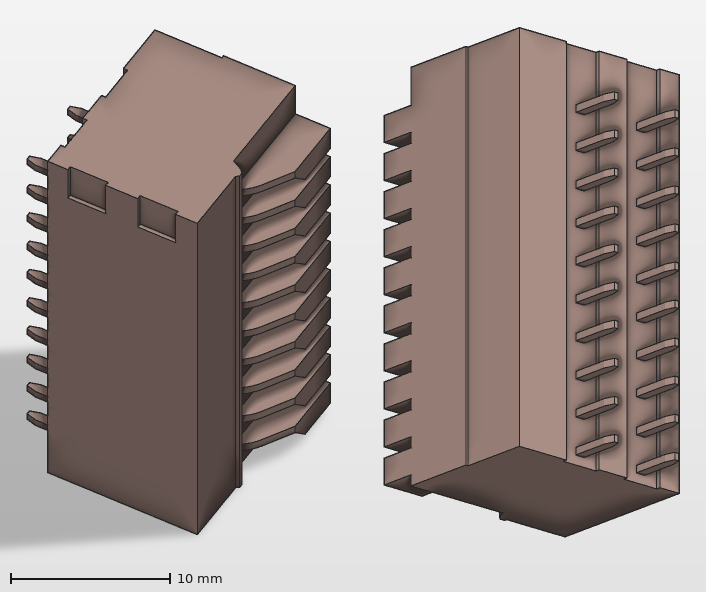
import cadquery as cq

HEIGHT = 27.94
DEPTH = 13.6
BACK_STEP = 0.2
BACK_STEP_X = 4.88
LEVER_WALL_X = 10.1
FRONT_WALL_X = 10.88
NOTCH_Y = 5.9
NOSE_X = 11.08
NOSE_ROOT_Y = 4.78
NOSE_FLAT_START_Y = 4.95
NOSE_FLAT_END_Y = 5.25
NOSE_SHOULDER_Y = 5.48

ROW_PITCH = 5.08
ROW_COUNT = 2
CONTACT_PITCH = 2.54
CONTACT_COUNT = 10

RECESS_WIDTH = 2.74
RECESS_DEPTH = 0.3
FIRST_GROOVE_Y = 1.64
FIRST_POCKET_X = 1.47
POCKET_HEIGHT = 2.54

FIRST_PIN_Y = 2.99
LOWEST_PIN_Z = 0.92
PIN_WIDTH = 0.7
PIN_THICKNESS = 0.5
PIN_TIP_WIDTH = 0.3
PIN_TIP_LENGTH = 0.72
PIN_REACH = 3.15

LEVER_REACH_X = 12.65
LOWEST_LEVER_Z = 0.74
LEVER_HEIGHT = 1.8
LEVER_LIP = 0.58
LEVER_CORNER_Y = 9.2
LEVER_ARC_START = (11.47, 7.19)
LEVER_ARC_MIDDLE = (10.93, 6.48)


def make_housing():
    outline = (
        cq.Workplane("XY")
        .moveTo(0, 0)
        .lineTo(FRONT_WALL_X, 0)
        .lineTo(FRONT_WALL_X, NOSE_ROOT_Y)
        .lineTo(NOSE_X, NOSE_FLAT_START_Y)
        .lineTo(NOSE_X, NOSE_FLAT_END_Y)
        .lineTo(FRONT_WALL_X, NOSE_SHOULDER_Y)
        .lineTo(LEVER_WALL_X, NOTCH_Y)
        .lineTo(LEVER_WALL_X, DEPTH)
        .lineTo(BACK_STEP_X, DEPTH)
        .lineTo(BACK_STEP_X, DEPTH - BACK_STEP)
        .lineTo(0, DEPTH - BACK_STEP)
        .close()
    )
    return outline.extrude(HEIGHT)


def make_groove(row):
    """Full-height relief groove around one row of pins."""
    y = FIRST_GROOVE_Y + row * ROW_PITCH
    return cq.Workplane("XY").box(RECESS_DEPTH, RECESS_WIDTH, HEIGHT, centered=False).translate((0, y, 0))


def make_pocket(row):
    """Shallow pocket at the top of the front wall."""
    x = FIRST_POCKET_X + row * ROW_PITCH
    pocket = cq.Workplane("XY").box(RECESS_WIDTH, RECESS_DEPTH, POCKET_HEIGHT, centered=False)
    return pocket.translate((x, 0, HEIGHT - POCKET_HEIGHT))


def make_pin():
    """Pin along -X, centred on Y = 0 and Z = 0, rooted in the groove floor."""
    taper_x = PIN_TIP_LENGTH - PIN_REACH
    half_width = PIN_WIDTH / 2
    half_tip = PIN_TIP_WIDTH / 2
    return (
        cq.Workplane("XY")
        .workplane(offset=-PIN_THICKNESS / 2)
        .polyline([
            (RECESS_DEPTH, -half_width),
            (RECESS_DEPTH, half_width),
            (taper_x, half_width),
            (-PIN_REACH, half_tip),
            (-PIN_REACH, -half_tip),
            (taper_x, -half_width),
        ])
        .close()
        .extrude(PIN_THICKNESS)
    )


def make_lever():
    """Lever with its underside at Z = 0: a profiled lip above a 45 degree ramp."""
    lip_z = LEVER_HEIGHT - LEVER_LIP
    lip = (
        cq.Workplane("XY")
        .workplane(offset=lip_z)
        .moveTo(LEVER_WALL_X, DEPTH)
        .lineTo(LEVER_REACH_X, DEPTH)
        .lineTo(LEVER_REACH_X, LEVER_CORNER_Y)
        .lineTo(*LEVER_ARC_START)
        .threePointArc(LEVER_ARC_MIDDLE, (LEVER_WALL_X, NOTCH_Y))
        .close()
        .extrude(LEVER_LIP)
    )
    ramp = (
        cq.Workplane("YZ")
        .workplane(offset=LEVER_WALL_X)
        .polyline([
            (LEVER_CORNER_Y, lip_z),
            (LEVER_CORNER_Y + lip_z, 0),
            (DEPTH, 0),
            (DEPTH, lip_z),
        ])
        .close()
        .extrude(LEVER_REACH_X - LEVER_WALL_X)
    )
    return lip.union(ramp)


def make_part():
    part = make_housing()
    for row in range(ROW_COUNT):
        part = part.cut(make_groove(row)).cut(make_pocket(row))

    pin = make_pin()
    lever = make_lever()
    for contact in range(CONTACT_COUNT):
        rise = contact * CONTACT_PITCH
        part = part.union(lever.translate((0, 0, LOWEST_LEVER_Z + rise)))
        for row in range(ROW_COUNT):
            pin_y = FIRST_PIN_Y + row * ROW_PITCH
            part = part.union(pin.translate((0, pin_y, LOWEST_PIN_Z + rise)))
    return part


result = make_part()